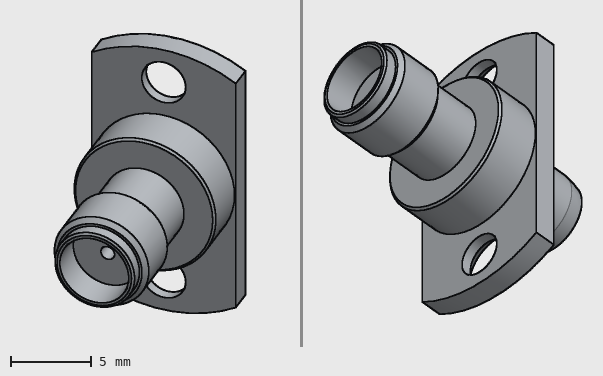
import cadquery as cq
import math

flange_radius = 9.48
flange_width = 9.6
flange_thickness = 1.6
mount_hole_diameter = 2.92
mount_hole_offset = 7.1
countersink_depth = 0.83
countersink_angle = 90.0

barrel_radius = 2.65
boss_radius = 4.72
boss_length = 3.18
boss_chamfer = 0.15

collar_radius = 3.15
collar_start = 6.78
collar_end = 10.45
collar_chamfer = 0.32

socket_tip = 11.31
tip_chamfer_radial = 0.17
tip_chamfer_axial = 0.1
bore_radius = 2.3
bore_depth = 2.2

contact_hole_radius = 0.45
contact_hole_depth = 1.9
drill_point_angle = 118.0

rear_end = 6.69
nose_length = 1.2
nose_drop = 0.23
nose_mid_drop = 0.08


def revolve_about_axis(profile):
    """Revolve a closed (radius, Y) profile around the Y axis."""
    return profile.close().revolve(360, (0, 0, 0), (0, 1, 0))


def make_flange():
    """Disc trimmed to two parallel sides, with rear-countersunk holes above and below the axis."""
    disc = cq.Workplane("XZ").circle(flange_radius).extrude(-flange_thickness)
    trim = cq.Workplane("XZ").rect(flange_width, 2 * flange_radius).extrude(-flange_thickness)
    countersink_spread = countersink_depth * math.tan(math.radians(countersink_angle / 2))
    return (
        disc.intersect(trim)
        .faces(">Y")
        .workplane(origin=(0, flange_thickness, 0))
        .pushPoints([(0, mount_hole_offset), (0, -mount_hole_offset)])
        .cskHole(mount_hole_diameter, mount_hole_diameter + 2 * countersink_spread, countersink_angle)
    )


def make_body():
    """Turned outline from the socket tip to the rounded rear nose."""
    nose_start = rear_end - nose_length
    profile = (
        cq.Workplane("XY")
        .moveTo(0, -socket_tip)
        .lineTo(barrel_radius - tip_chamfer_radial, -socket_tip)
        .lineTo(barrel_radius, -socket_tip + tip_chamfer_axial)
        .lineTo(barrel_radius, -collar_end)
        .lineTo(collar_radius - collar_chamfer, -collar_end)
        .lineTo(collar_radius, -collar_end + collar_chamfer)
        .lineTo(collar_radius, -collar_start - collar_chamfer)
        .lineTo(collar_radius - collar_chamfer, -collar_start)
        .lineTo(barrel_radius, -collar_start)
        .lineTo(barrel_radius, -boss_length)
        .lineTo(boss_radius - boss_chamfer, -boss_length)
        .lineTo(boss_radius, -boss_length + boss_chamfer)
        .lineTo(boss_radius, 0)
        .lineTo(barrel_radius, 0)
        .lineTo(barrel_radius, nose_start)
        .threePointArc(
            (barrel_radius - nose_mid_drop, nose_start + nose_length / 2),
            (barrel_radius - nose_drop, rear_end),
        )
        .lineTo(0, rear_end)
    )
    return revolve_about_axis(profile)


def make_socket_cavity():
    """Socket bore with a drilled contact hole in its floor."""
    bore_floor = bore_depth - socket_tip
    hole_shoulder = bore_floor + contact_hole_depth
    point_length = contact_hole_radius / math.tan(math.radians(drill_point_angle / 2))
    profile = (
        cq.Workplane("XY")
        .moveTo(0, -socket_tip)
        .lineTo(bore_radius, -socket_tip)
        .lineTo(bore_radius, bore_floor)
        .lineTo(contact_hole_radius, bore_floor)
        .lineTo(contact_hole_radius, hole_shoulder)
        .lineTo(0, hole_shoulder + point_length)
    )
    return revolve_about_axis(profile)


result = make_flange().union(make_body()).cut(make_socket_cavity())